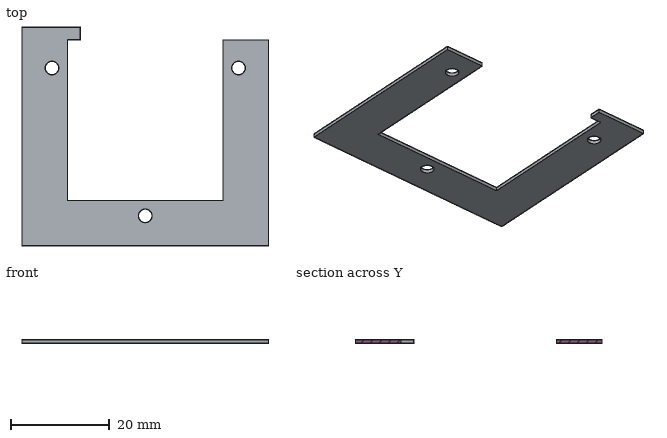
import cadquery as cq

width = 50.1
height = 44.45
thickness = 0.8

band = 9.25
hook_height = 2.6
hook_reach = 2.6
arm_top = height - hook_height

hole_diameter = 2.7
hole_inset = 6.1
arm_hole_height = 36.15

outline = [
    (0, 0),
    (width, 0),
    (width, arm_top),
    (width - band, arm_top),
    (width - band, band),
    (band, band),
    (band, arm_top),
    (band + hook_reach, arm_top),
    (band + hook_reach, height),
    (0, height),
]
frame = cq.Workplane("XY").polyline(outline).close().extrude(thickness)

hole_centers = [
    (hole_inset, arm_hole_height),
    (width - hole_inset, arm_hole_height),
    (width / 2, hole_inset),
]
holes = (
    cq.Workplane("XY")
    .pushPoints(hole_centers)
    .circle(hole_diameter / 2)
    .extrude(thickness)
)

result = frame.cut(holes)